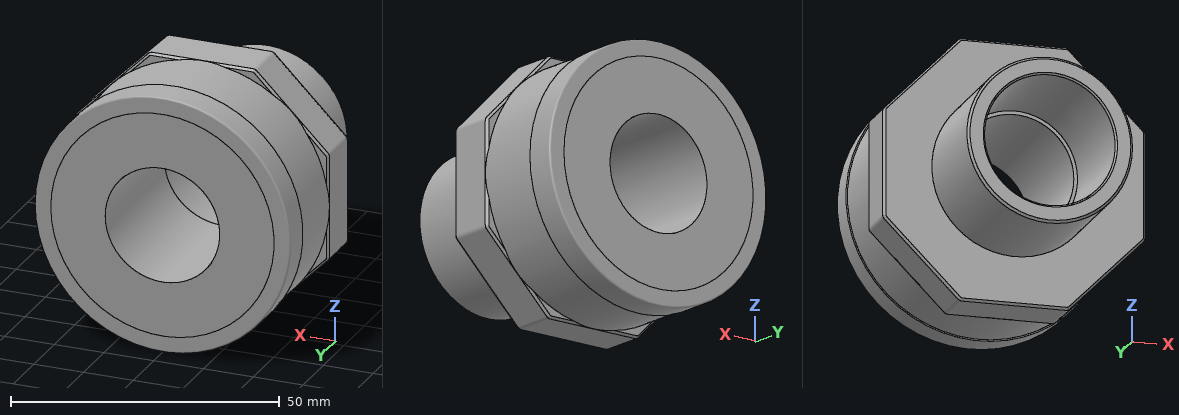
import cadquery as cq
import math

total_length = 51.6

ring_diameter = 51.55
ring_bore = 44.9
ring_length = 6.0
ring_edge_fillet = 0.4

barrel_diameter = 50.95
grip_side_count = 8
grip_across_flats = 51.0
grip_length = 9.7
grip_front = 22.7
grip_corner_fillet = 1.2
grip_edge_chamfer = 0.45

spigot_diameter = 32.2
spigot_edge_chamfer = 0.45
bore_diameter = 23.0
socket_mouth_diameter = 25.4
socket_floor_diameter = 24.45
socket_mouth_chamfer = 0.35

ring_start = total_length - ring_length
socket_floor = grip_front


def cylinder_along_y(diameter, start, end):
    """Solid cylinder on the Y axis between two Y positions."""
    return cq.Workplane("XZ", origin=(0, start, 0)).circle(diameter / 2).extrude(start - end)


def make_grip():
    """Octagonal grip with flats square to X and Z, rounded corners and chamfered rims."""
    corner_diameter = grip_across_flats / math.cos(math.pi / grip_side_count)
    half_sector = 180 / grip_side_count
    return (
        cq.Workplane("XZ", origin=(0, grip_front, 0))
        .polygon(grip_side_count, corner_diameter)
        .extrude(-grip_length)
        .rotate((0, 0, 0), (0, 1, 0), half_sector)
        .edges("|Y")
        .fillet(grip_corner_fillet)
        .faces("<Y or >Y")
        .edges()
        .chamfer(grip_edge_chamfer)
    )


def make_bore():
    """Chamfered mouth, tapered socket down to a flat shoulder, then a straight bore right through."""
    mouth_radius = socket_mouth_diameter / 2
    return (
        cq.Workplane("XY")
        .lineTo(mouth_radius + socket_mouth_chamfer, 0)
        .lineTo(mouth_radius, socket_mouth_chamfer)
        .lineTo(socket_floor_diameter / 2, socket_floor)
        .lineTo(bore_diameter / 2, socket_floor)
        .lineTo(bore_diameter / 2, total_length)
        .lineTo(0, total_length)
        .close()
        .revolve(360, (0, 0, 0), (0, 1, 0))
    )


def make_housing():
    """Spigot, grip, barrel and the neck that carries the ring, bored through."""
    spigot = (
        cylinder_along_y(spigot_diameter, 0, ring_start)
        .faces("<Y")
        .edges()
        .chamfer(spigot_edge_chamfer)
    )
    barrel = cylinder_along_y(barrel_diameter, grip_front + grip_length / 2, ring_start)
    neck = cylinder_along_y(ring_bore, ring_start, total_length)
    return spigot.union(make_grip()).union(barrel).union(neck).cut(make_bore())


def make_ring():
    """Ring seated on the neck, against the barrel shoulder, with a rounded outer end edge."""
    return (
        cylinder_along_y(ring_diameter, ring_start, total_length)
        .faces(">Y")
        .edges()
        .fillet(ring_edge_fillet)
        .cut(cylinder_along_y(ring_bore, ring_start, total_length))
    )


housing = make_housing()
ring = make_ring()

result = cq.Compound.makeCompound([*housing.solids().vals(), *ring.solids().vals()])